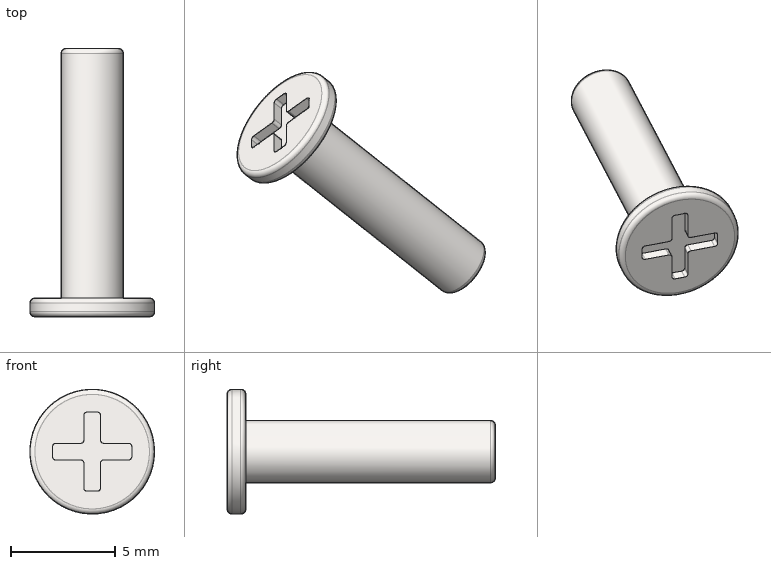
import cadquery as cq

total_length = 12.9
head_diameter = 6.0
head_thickness = 0.9
shank_diameter = head_diameter / 2
edge_radius = 0.25

recess_span = 3.8
recess_arm_width = 0.8
recess_depth = 0.5
recess_corner_radius = 0.15

shank_length = total_length - head_thickness


def cylinder_along_y(diameter, start_y, length):
    """Solid cylinder centred on the Y axis, running towards +Y."""
    base = cq.Workplane("XZ", origin=(0, start_y, 0))
    return base.circle(diameter / 2).extrude(-length)


def make_head():
    """Flat disc with both rims rounded."""
    disc = cylinder_along_y(head_diameter, -head_thickness, head_thickness)
    return disc.edges("%CIRCLE").fillet(edge_radius)


def make_shank():
    """Plain shank with a rounded free end."""
    shank = cylinder_along_y(shank_diameter, 0, shank_length)
    return shank.faces(">Y").edges().fillet(edge_radius)


def make_recess():
    """Cross-shaped cutter with rounded outer and inner corners."""
    face = cq.Workplane("XZ", origin=(0, -head_thickness, 0))
    flat_arm = face.rect(recess_span, recess_arm_width).extrude(-recess_depth)
    upright_arm = face.rect(recess_arm_width, recess_span).extrude(-recess_depth)
    cross = flat_arm.union(upright_arm)

    inner_box = cq.selectors.BoxSelector(
        (-recess_arm_width, -head_thickness, -recess_arm_width),
        (recess_arm_width, 0, recess_arm_width),
    )
    cross = cross.edges("|Y").edges(inner_box).fillet(recess_corner_radius)

    for tips in ("<X", ">X", "<Z", ">Z"):
        cross = cross.faces(tips).edges("|Y").fillet(recess_corner_radius)
    return cross


result = make_head().union(make_shank()).cut(make_recess())